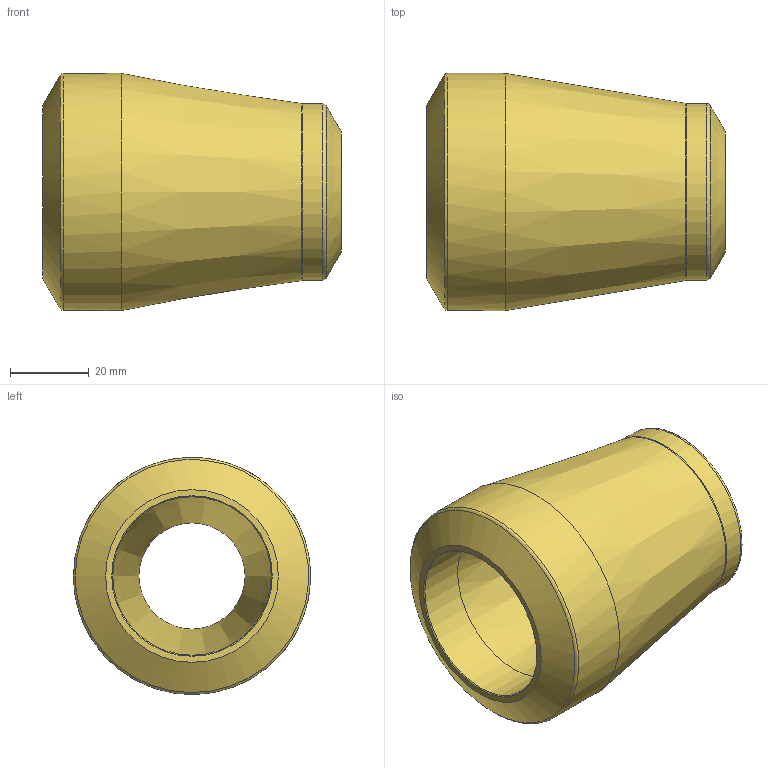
import cadquery as cq
import math

length = 76.0
large_diameter = 60.3
small_diameter = 45.0

large_bore = 40.3
small_bore = 27.0
land_width = 1.8

bevel_angle = 30.0
bevel_round = 1.0

taper_start = 20.0
taper_end = 66.0
bore_taper_start = 12.0

mouth_chamfer = 0.25
taper_round = 2.0

station_margin = 0.1


def bevel_depth(outer_diameter, bore):
    """Axial depth of the bevel from the land edge out to the cylinder."""
    rise = (outer_diameter - bore) / 2 - land_width
    return rise * math.tan(math.radians(bevel_angle))


def edge_ring(station):
    """Selector for the circular edge at one axial station."""
    return cq.selectors.BoxSelector(
        (station - station_margin, -large_diameter, -large_diameter),
        (station + station_margin, large_diameter, large_diameter),
        boundingbox=True,
    )


def outer_body():
    """Solid reducer: bevelled cylinder, taper, bevelled smaller cylinder."""
    large_radius = large_diameter / 2
    small_radius = small_diameter / 2
    large_shoulder = bevel_depth(large_diameter, large_bore)
    small_shoulder = length - bevel_depth(small_diameter, small_bore)
    profile = (
        cq.Workplane("XY")
        .lineTo(0, large_bore / 2 + land_width)
        .lineTo(large_shoulder, large_radius)
        .lineTo(taper_start, large_radius)
        .lineTo(taper_end, small_radius)
        .lineTo(small_shoulder, small_radius)
        .lineTo(length, small_bore / 2 + land_width)
        .lineTo(length, 0)
        .close()
    )
    body = profile.revolve(360, (0, 0, 0), (1, 0, 0))
    body = body.edges(edge_ring(large_shoulder)).fillet(bevel_round)
    body = body.edges(edge_ring(small_shoulder)).fillet(bevel_round)
    return body.edges(edge_ring(taper_end)).fillet(taper_round)


def bore_passage():
    """Through passage: large bore, taper, small bore."""
    profile = (
        cq.Workplane("XY")
        .lineTo(0, large_bore / 2 + mouth_chamfer)
        .lineTo(mouth_chamfer, large_bore / 2)
        .lineTo(bore_taper_start, large_bore / 2)
        .lineTo(taper_end, small_bore / 2)
        .lineTo(length, small_bore / 2)
        .lineTo(length, 0)
        .close()
    )
    return profile.revolve(360, (0, 0, 0), (1, 0, 0))


result = outer_body().cut(bore_passage())